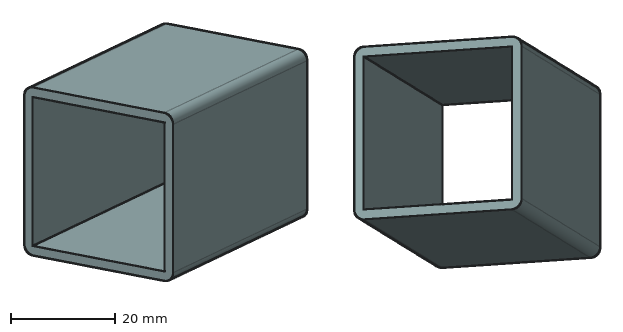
import cadquery as cq

outer_width = 33.9
tube_length = 48.0
wall_thickness = 1.95
outer_corner_radius = 2.0

inner_width = outer_width - 2 * wall_thickness


def square_prism(width):
    """Square bar of the given width, full tube length along Y."""
    return cq.Workplane("XY").box(width, tube_length, width)


outer_body = square_prism(outer_width).edges("|Y").fillet(outer_corner_radius)
bore = square_prism(inner_width)

result = outer_body.cut(bore)